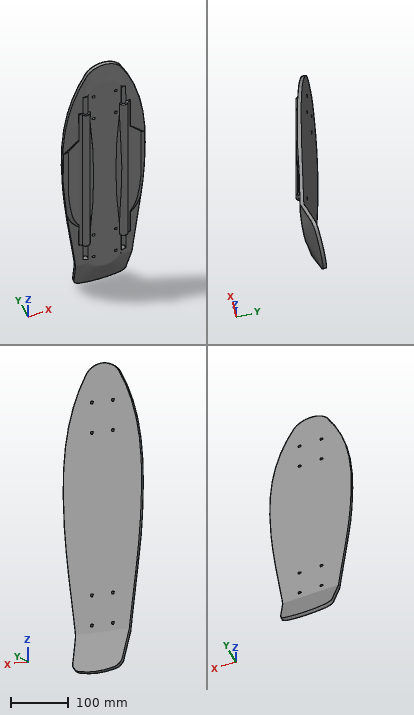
import cadquery as cq
import math


TOLERANCE = 0.01

DECK_LENGTH = 558.8
DECK_WIDTH = 153.95
DECK_DEPTH = 42.16
EDGE_THICKNESS = 6.5
PLATFORM_DEPTH = 10.5

NOSE_Z = DECK_LENGTH / 2
TAIL_Z = -DECK_LENGTH / 2

NOSE_HALF_WIDTH = 31.5
NOSE_CORNER_Z = 263.0
SIDE_CURVE = [(51.0, 223.0), (68.0, 165.0), (DECK_WIDTH / 2, 58.0), (69.5, -65.0)]
TAPER_HALF_WIDTH = 55.0
TAPER_Z = -182.0
BEND_HALF_WIDTH = 52.6
BEND_Z = -202.5
BEND_RADIUS = 10.0
TAIL_HALF_WIDTH = 48.9
TAIL_CORNER_Z = -253.0
TAIL_CORNER_MID = (44.8, -266.5)
TAIL_END_HALF_WIDTH = 32.5
TAIL_END_Z = -273.5

KICK_ANGLE = math.radians(18.3)
TAIL_TIP_Z = TAIL_Z + EDGE_THICKNESS * math.sin(KICK_ANGLE)
TAIL_RISE = (BEND_Z - TAIL_TIP_Z) * math.tan(KICK_ANGLE)

PLATFORM_RADIUS = 32.5
PLATFORM_TOP_Z = 208.5
PLATFORM_BOTTOM_Z = -184.5
BEND_ARC_ANGLE = 61.0
CORNER_START_ANGLE = 31.0
CORNER_END_ANGLE = 19.0

RAIL_DEPTH = DECK_DEPTH - TAIL_RISE
RAIL_X = 35.2
RAIL_TOP_Z = 176.5
RAIL_BOTTOM_Z = -149.0
RAIL_RADIUS = 8.0
RAIL_FILLET_REACH = 12.5
ROD_PASSAGE_DIAMETER = 9.0
ROD_PASSAGE_TOP_Z = 215.5
ROD_PASSAGE_BOTTOM_Z = -190.5
ROD_PASSAGE_END_LENGTH = 5.0

FLANK_CHORD_X = 30.0
FLANK_BOW_X = 20.7
FLANK_HEIGHT = 6.2
FLANK_DRAFT = 62.0
FLANK_BACK_X = 70.0

PAD_X = 67.7
PAD_TOP_Z = 91.7
PAD_CURVE_START_Z = 0.0
PAD_CURVE_MIDDLE = (60.6, -70.0)
PAD_BOTTOM = (43.5, -104.4)
PAD_INNER_X = 40.0
PAD_CUT_RISE = 1.02
PAD_DRAFT = 64.0
PAD_HEIGHT = 4.0

BOLT_HOLE_DIAMETER = 5.0
BOLT_SPACING_X = 41.3
BOLT_SPACING_Z = 54.0
TRUCK_CENTERS_Z = [183.8, -160.5]


def deck_point(x, z, below):
    """Place an outline point on the riding surface, or one edge thickness below it."""
    depth = EDGE_THICKNESS if below else 0
    if z > BEND_Z:
        return cq.Vector(x, -depth, z)
    if z == BEND_Z:
        return cq.Vector(x, -depth, z - depth * math.tan(KICK_ANGLE / 2))
    y = (BEND_Z - z) * math.tan(KICK_ANGLE) - depth * math.cos(KICK_ANGLE)
    return cq.Vector(x, y, z - depth * math.sin(KICK_ANGLE))


def platform_arc_point(angle, side):
    """Point on the platform's lower rounded end, angle measured from straight down."""
    a = math.radians(angle)
    x = side * PLATFORM_RADIUS * math.sin(a)
    return cq.Vector(x, -PLATFORM_DEPTH, PLATFORM_BOTTOM_Z - PLATFORM_RADIUS * math.cos(a))


def outline_edges(below):
    """Nose, then each half's side, taper, tail side and corner, then the tail end."""
    def point(x, z):
        return deck_point(x, z, below)

    edges = {}
    edges["nose"] = cq.Edge.makeThreePointArc(
        point(-NOSE_HALF_WIDTH, NOSE_CORNER_Z), point(0, NOSE_Z), point(NOSE_HALF_WIDTH, NOSE_CORNER_Z)
    )
    for side in (-1, 1):
        curve = [(NOSE_HALF_WIDTH, NOSE_CORNER_Z)] + SIDE_CURVE + [(TAPER_HALF_WIDTH, TAPER_Z)]
        taper_end = point(side * TAPER_HALF_WIDTH, TAPER_Z)
        bend = point(side * BEND_HALF_WIDTH, BEND_Z)
        corner_start = point(side * TAIL_HALF_WIDTH, TAIL_CORNER_Z)
        corner_mid = point(side * TAIL_CORNER_MID[0], TAIL_CORNER_MID[1])
        corner_end = point(side * TAIL_END_HALF_WIDTH, TAIL_END_Z)
        edges["side", side] = cq.Edge.makeSpline([point(side * x, z) for x, z in curve])
        edges["taper", side] = cq.Edge.makeLine(taper_end, bend)
        edges["tail", side] = cq.Edge.makeLine(bend, corner_start)
        edges["corner", side] = cq.Edge.makeThreePointArc(corner_start, corner_mid, corner_end)
    edges["bend"] = cq.Edge.makeLine(point(-BEND_HALF_WIDTH, BEND_Z), point(BEND_HALF_WIDTH, BEND_Z))
    edges["end"] = cq.Edge.makeThreePointArc(
        point(-TAIL_END_HALF_WIDTH, TAIL_END_Z), point(0, TAIL_TIP_Z), point(TAIL_END_HALF_WIDTH, TAIL_END_Z)
    )
    return edges


def platform_edges():
    """Platform boundary, cut into the pieces that face the outline pieces of the same name."""
    def arc(start, end, side):
        middle = platform_arc_point((start + end) / 2, side)
        return cq.Edge.makeThreePointArc(
            platform_arc_point(start, side), middle, platform_arc_point(end, side)
        )

    y = -PLATFORM_DEPTH
    edges = {}
    edges["nose"] = cq.Edge.makeThreePointArc(
        cq.Vector(-PLATFORM_RADIUS, y, PLATFORM_TOP_Z),
        cq.Vector(0, y, PLATFORM_TOP_Z + PLATFORM_RADIUS),
        cq.Vector(PLATFORM_RADIUS, y, PLATFORM_TOP_Z),
    )
    for side in (-1, 1):
        x = side * PLATFORM_RADIUS
        edges["side", side] = cq.Edge.makeLine(
            cq.Vector(x, y, PLATFORM_TOP_Z), platform_arc_point(90, side)
        )
        edges["taper", side] = arc(90, BEND_ARC_ANGLE, side)
        edges["tail", side] = arc(BEND_ARC_ANGLE, CORNER_START_ANGLE, side)
        edges["corner", side] = arc(CORNER_START_ANGLE, CORNER_END_ANGLE, side)
    edges["end"] = cq.Edge.makeThreePointArc(
        platform_arc_point(CORNER_END_ANGLE, -1),
        platform_arc_point(0, 1),
        platform_arc_point(CORNER_END_ANGLE, 1),
    )
    return edges


def flat_face(edges):
    """Face bounded by edges given in any order."""
    return cq.Face.makeFromWires(cq.Wire.combine(edges)[0])


def make_deck():
    """Deck body: flat top and kicked tail, upright edge, and ruled faces down to the platform."""
    top = outline_edges(below=False)
    bottom = outline_edges(below=True)
    platform = platform_edges()
    sides = (-1, 1)
    main_top = [top["nose"], top["bend"]]
    main_top += [top[name, side] for name in ("side", "taper") for side in sides]
    tail_top = [top["bend"], top["end"]]
    tail_top += [top[name, side] for name in ("tail", "corner") for side in sides]
    faces = [flat_face(main_top), flat_face(tail_top), flat_face(list(platform.values()))]
    for name, edge in platform.items():
        faces.append(cq.Face.makeRuledSurface(top[name], bottom[name]))
        faces.append(cq.Face.makeRuledSurface(bottom[name], edge))
    solid = cq.Solid.makeSolid(cq.Shell.makeShell(faces))
    return cq.Workplane(obj=solid.fix())


def is_bend_edge(edge):
    """True for the crease across the riding surface and the arcs of the platform's lower end."""
    center = edge.Center()
    is_crease = abs(center.x) < TOLERANCE and abs(center.y) < TOLERANCE and edge.geomType() == "LINE"
    is_lower_end = center.z < PLATFORM_BOTTOM_Z - PLATFORM_RADIUS / 2
    is_platform_arc = abs(center.y + PLATFORM_DEPTH) < TOLERANCE and is_lower_end
    return is_crease or is_platform_arc


def soften_bend(deck):
    """Round the crease of the kick across the riding surface and along the lower end of the platform."""
    solid = deck.val()
    edges = [e for e in solid.Edges() if is_bend_edge(e)]
    return cq.Workplane(obj=solid.fillet(BEND_RADIUS, edges))


def plan(depth):
    """Sketch plane facing -Y at a depth below the riding surface; local axes follow X and Z."""
    return cq.Workplane("XZ", origin=(0, -depth, 0))


def make_rail(side):
    """Half-round rail with a concave fillet on its outboard foot and a bowed inboard flank."""
    axis_y = RAIL_RADIUS - RAIL_DEPTH
    rise = axis_y + PLATFORM_DEPTH
    fillet_radius = (RAIL_FILLET_REACH ** 2 + rise ** 2 - RAIL_RADIUS ** 2) / (2 * (RAIL_RADIUS + rise))
    foot_x = RAIL_X + RAIL_FILLET_REACH
    fillet_y = -PLATFORM_DEPTH - fillet_radius
    to_fillet = math.atan2(fillet_y - axis_y, RAIL_FILLET_REACH)
    tangent = (RAIL_X + RAIL_RADIUS * math.cos(to_fillet), axis_y + RAIL_RADIUS * math.sin(to_fillet))
    middle_angle = (math.pi / 2 + to_fillet + math.pi) / 2
    fillet_middle = (
        foot_x + fillet_radius * math.cos(middle_angle),
        fillet_y + fillet_radius * math.sin(middle_angle),
    )
    base_y = -EDGE_THICKNESS / 2
    bulge = (
        cq.Workplane("XY", origin=(0, 0, RAIL_BOTTOM_Z))
        .moveTo(RAIL_X - RAIL_RADIUS, base_y)
        .lineTo(RAIL_X - RAIL_RADIUS, axis_y)
        .threePointArc((RAIL_X, -RAIL_DEPTH), tangent)
        .threePointArc(fillet_middle, (foot_x, -PLATFORM_DEPTH))
        .lineTo(foot_x, base_y)
        .close()
        .extrude(RAIL_TOP_Z - RAIL_BOTTOM_Z)
    )
    flank = (
        plan(PLATFORM_DEPTH)
        .moveTo(FLANK_CHORD_X, RAIL_TOP_Z)
        .threePointArc((FLANK_BOW_X, (RAIL_TOP_Z + RAIL_BOTTOM_Z) / 2), (FLANK_CHORD_X, RAIL_BOTTOM_Z))
        .lineTo(FLANK_BACK_X, RAIL_BOTTOM_Z)
        .lineTo(FLANK_BACK_X, RAIL_TOP_Z)
        .close()
        .extrude(FLANK_HEIGHT, taper=FLANK_DRAFT)
    )
    inboard_half = cq.Workplane("XY", origin=(0, 0, RAIL_BOTTOM_Z)).box(
        RAIL_X, DECK_DEPTH, RAIL_TOP_Z - RAIL_BOTTOM_Z, centered=(False, True, False)
    )
    rail = bulge.union(flank.intersect(inboard_half))
    return rail if side > 0 else rail.mirror("YZ")


def make_rod_passage(side):
    """Rod passage along the rail line, its ends sloping up to the surface."""
    radius = ROD_PASSAGE_DIAMETER / 2
    axis_y = RAIL_RADIUS - RAIL_DEPTH
    floor_y = axis_y + radius
    rod = (
        cq.Workplane("XY", origin=(side * RAIL_X, axis_y, ROD_PASSAGE_BOTTOM_Z))
        .circle(radius)
        .extrude(ROD_PASSAGE_TOP_Z - ROD_PASSAGE_BOTTOM_Z)
    )
    sloped_ends = (
        cq.Workplane("YZ")
        .polyline([
            (-RAIL_DEPTH, ROD_PASSAGE_BOTTOM_Z),
            (-PLATFORM_DEPTH, ROD_PASSAGE_BOTTOM_Z),
            (floor_y, ROD_PASSAGE_BOTTOM_Z + ROD_PASSAGE_END_LENGTH),
            (floor_y, ROD_PASSAGE_TOP_Z - ROD_PASSAGE_END_LENGTH),
            (-PLATFORM_DEPTH, ROD_PASSAGE_TOP_Z),
            (-RAIL_DEPTH, ROD_PASSAGE_TOP_Z),
        ])
        .close()
        .extrude(DECK_WIDTH / 2, both=True)
    )
    return rod.intersect(sloped_ends)


def make_pad(side):
    """Flat side pad with drafted outer walls and an upright slanted upper end."""
    slant_top_z = PAD_TOP_Z + PAD_CUT_RISE * (PAD_X - PAD_INNER_X)
    facing_deck = cq.Plane(origin=(0, -PLATFORM_DEPTH, 0), xDir=(-1, 0, 0), normal=(0, 1, 0))
    pad = (
        cq.Workplane(facing_deck)
        .moveTo(-PAD_INNER_X, PAD_BOTTOM[1])
        .lineTo(-PAD_INNER_X, NOSE_CORNER_Z)
        .lineTo(-PAD_X, NOSE_CORNER_Z)
        .lineTo(-PAD_X, PAD_CURVE_START_Z)
        .tangentArcPoint((-PAD_CURVE_MIDDLE[0], PAD_CURVE_MIDDLE[1]), relative=False)
        .tangentArcPoint((-PAD_BOTTOM[0], PAD_BOTTOM[1]), relative=False)
        .close()
        .extrude(PAD_HEIGHT, taper=-PAD_DRAFT)
    )
    outer_x = DECK_WIDTH / 2
    below_slant = (
        plan(0)
        .polyline([
            (PAD_INNER_X, slant_top_z),
            (PAD_INNER_X, TAIL_Z),
            (outer_x, TAIL_Z),
            (outer_x, PAD_TOP_Z - PAD_CUT_RISE * (outer_x - PAD_X)),
        ])
        .close()
        .extrude(DECK_DEPTH)
    )
    pad = pad.intersect(below_slant).intersect(make_outline_block())
    return pad if side > 0 else pad.mirror("YZ")


def make_outline_block():
    """Upright block with the deck outline above the bend, to trim the pads."""
    edges = outline_edges(below=False)
    border = [edges["nose"], edges["bend"]]
    border += [edges[name, side] for name in ("side", "taper") for side in (-1, 1)]
    return cq.Workplane(
        obj=cq.Solid.extrudeLinear(flat_face(border), cq.Vector(0, -DECK_DEPTH, 0))
    )


def make_bolt_holes():
    """Four through bolt holes for each truck."""
    centers = [
        (sx * BOLT_SPACING_X / 2, truck_z + sz * BOLT_SPACING_Z / 2)
        for truck_z in TRUCK_CENTERS_Z
        for sx in (-1, 1)
        for sz in (-1, 1)
    ]
    return plan(0).pushPoints(centers).circle(BOLT_HOLE_DIAMETER / 2).extrude(DECK_DEPTH)


result = soften_bend(make_deck())
for side in (-1, 1):
    result = result.union(make_pad(side))
    result = result.union(make_rail(side))
    result = result.cut(make_rod_passage(side))
result = result.cut(make_bolt_holes())